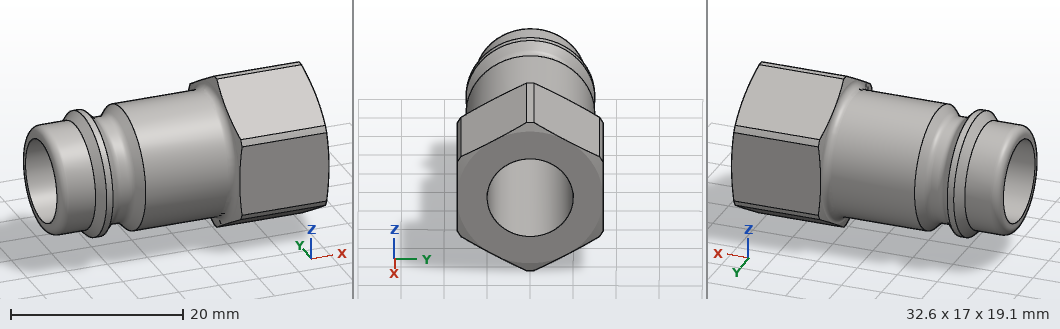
import cadquery as cq
import math

length = 32.6
bore_diameter = 10.0
nose_radius = 13.0 / 2
body_radius = 15.0 / 2
groove_radius = 12.65 / 2

flank_angle = math.radians(45)
collar_start = 4.25
collar_crest_start = collar_start + body_radius - nose_radius
collar_crest_end = 6.03
groove_floor_length = 0.9

hex_start = 21.45
hex_across_flats = 17.0
hex_corner_radius = 19.15 / 2
hex_face_radius = hex_across_flats / 2
hex_chamfer = (hex_corner_radius - hex_face_radius) * math.tan(math.radians(15))

blend_radius = hex_face_radius - body_radius

axis_start = (0, 0, 0)
axis_end = (1, 0, 0)

arc_length = blend_radius * math.sin(flank_angle)
arc_top = groove_radius + blend_radius * (1 - math.cos(flank_angle))
cone_length = body_radius - arc_top
half_angle_length = blend_radius * math.sin(flank_angle / 2)
half_angle_radius = groove_radius + blend_radius * (1 - math.cos(flank_angle / 2))

front_cone_end = collar_crest_end + cone_length
floor_start = front_cone_end + arc_length
floor_end = floor_start + groove_floor_length
rear_cone_start = floor_end + arc_length
body_start = rear_cone_start + cone_length

quarter_arc_inset = blend_radius * (1 - math.cos(math.radians(45)))


def make_stem():
    """Solid of revolution from the nose to the hexagon face."""
    profile = (
        cq.Workplane("XY")
        .moveTo(0, 0)
        .lineTo(0, nose_radius - blend_radius)
        .threePointArc(
            (quarter_arc_inset, nose_radius - quarter_arc_inset),
            (blend_radius, nose_radius),
        )
        .lineTo(collar_start, nose_radius)
        .lineTo(collar_crest_start, body_radius)
        .lineTo(collar_crest_end, body_radius)
        .lineTo(front_cone_end, arc_top)
        .threePointArc(
            (floor_start - half_angle_length, half_angle_radius),
            (floor_start, groove_radius),
        )
        .lineTo(floor_end, groove_radius)
        .threePointArc(
            (floor_end + half_angle_length, half_angle_radius),
            (rear_cone_start, arc_top),
        )
        .lineTo(body_start, body_radius)
        .lineTo(hex_start - blend_radius, body_radius)
        .threePointArc(
            (hex_start - quarter_arc_inset, body_radius + quarter_arc_inset),
            (hex_start, hex_face_radius),
        )
        .lineTo(hex_start, 0)
        .close()
    )
    return profile.revolve(360, axis_start, axis_end)


def make_hexagon():
    """Hexagonal prism with rounded corners and 15 degree chamfers at both ends."""
    prism = (
        cq.Workplane("YZ", origin=(hex_start, 0, 0))
        .polygon(6, hex_across_flats, circumscribed=True)
        .extrude(length - hex_start)
    )
    turned_blank = (
        cq.Workplane("XY")
        .polyline([
            (hex_start, 0),
            (hex_start, hex_face_radius),
            (hex_start + hex_chamfer, hex_corner_radius),
            (length - hex_chamfer, hex_corner_radius),
            (length, hex_face_radius),
            (length, 0),
        ])
        .close()
        .revolve(360, axis_start, axis_end)
    )
    return prism.intersect(turned_blank)


bore = cq.Workplane("YZ").circle(bore_diameter / 2).extrude(length)
result = make_stem().union(make_hexagon()).cut(bore)